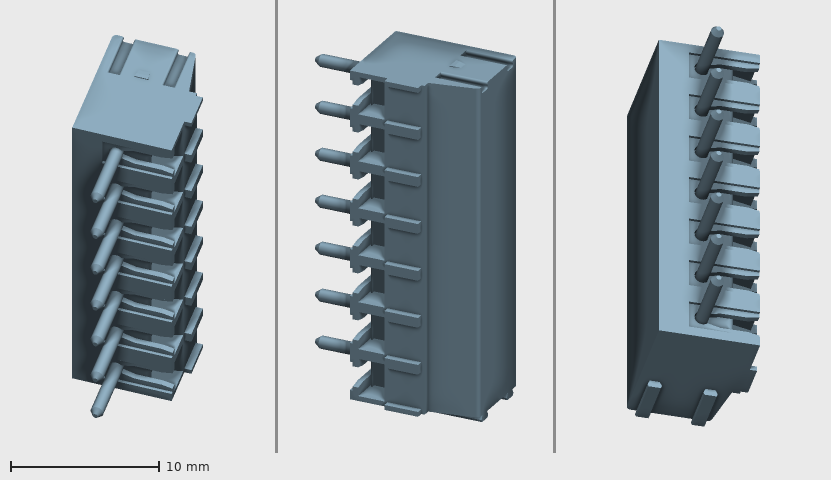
import cadquery as cq
import math


overall_height = 25.08
housing_height = 24.5
pole_count = 7
pitch = housing_height / pole_count
housing_depth = 9.15
housing_width = 7.05
back_width = 5.87
shoulder_width = 6.5
shoulder_length = 3.54
back_corner_radius = 0.3

pin_x = 3.05
pin_radius = 0.45
pin_length = 4.5
pin_tip_length = 0.4
pin_tip_radius = 0.18

pocket_left = 2.1
pocket_height = 2.1
pocket_depth = 0.213

channel_depth = 0.63
pin_hole_radius = 0.53
channel_root_half = 0.28
channel_half = 0.6
channel_mouth_half = 0.75
channel_full_x = 4.35
channel_flare_x = 6.27
contact_bend_x = 5.05
contact_bend_radius = 0.35
contact_bend_angle = 65.0

cavity_depth = 2.25
ramp_start_x = 5.72
ramp_drop = 0.33

stop_height = 0.73
stop_projection = 0.5
stop_front = 2.83
stop_back = 5.37

cavity_half = (pitch - stop_height) / 2

track_centers = (1.13, 5.02)
track_length = 3.5
groove_half = 0.53
groove_lip_radius = 0.15
rail_neck_half = 0.35
rail_half = 0.5
rail_tip_half = 0.43
rail_flare_height = 0.33
rail_height = 0.5

bump_height = overall_height - housing_height - rail_height
bump_back_half = 0.35
bump_front_half = 0.5
bump_setback = 2.58
bump_ramp_length = 0.48
bump_crest_length = 0.3
bump_back_y = housing_depth - bump_setback
bump_crest_y = bump_back_y - bump_ramp_length
bump_front_y = bump_crest_y - bump_crest_length


def make_housing():
    """Prism with a sloped +X face towards the back and rounded back edges."""
    shoulder_y = housing_depth - shoulder_length
    outline = [
        (0, 0),
        (housing_width, 0),
        (housing_width, shoulder_y),
        (shoulder_width, shoulder_y),
        (back_width, housing_depth),
        (0, housing_depth),
    ]
    body = cq.Workplane("XY").polyline(outline).close().extrude(housing_height)
    return body.faces(">Y").edges("|Z").fillet(back_corner_radius)


def make_channel():
    """Recess of one pole, centred on Z = 0: pocket, pin hole and contact channel."""
    pocket = cq.Workplane("XY").box(
        housing_width - pocket_left, pocket_depth, pocket_height, centered=(False, False, True)
    ).translate((pocket_left, 0, 0))

    pin_hole = cq.Workplane("XZ").center(pin_x, 0).circle(pin_hole_radius).extrude(-channel_depth)

    upper_side = [
        (pin_x, channel_root_half),
        (channel_full_x, channel_half),
        (channel_flare_x, channel_half),
        (housing_width, channel_mouth_half),
    ]
    lower_side = [(x, -z) for x, z in reversed(upper_side)]
    channel = cq.Workplane("XZ").polyline(upper_side + lower_side).close().extrude(-channel_depth)
    return pocket.union(pin_hole).union(channel)


def make_cavity():
    """Cavity of one pole, centred on Z = 0, reaching under the rounded contact end."""

    def bend_point(angle):
        turn = math.radians(angle)
        x = contact_bend_x + contact_bend_radius * math.sin(turn)
        y = channel_depth + contact_bend_radius * (1 - math.cos(turn))
        return x, y

    contact_end = bend_point(contact_bend_angle)
    return (
        cq.Workplane("XY")
        .moveTo(contact_bend_x, channel_depth)
        .threePointArc(bend_point(contact_bend_angle / 2), contact_end)
        .lineTo(contact_bend_x, contact_end[1])
        .lineTo(contact_bend_x, cavity_depth)
        .lineTo(ramp_start_x, cavity_depth)
        .lineTo(housing_width, cavity_depth + ramp_drop)
        .lineTo(housing_width, channel_depth)
        .close()
        .extrude(cavity_half, both=True)
    )


def make_pin():
    """Round pin with a conical tip, starting at the contact surface."""
    half_section = [
        (0, channel_depth),
        (pin_radius, channel_depth),
        (pin_radius, pin_tip_length - pin_length),
        (pin_tip_radius, -pin_length),
        (0, -pin_length),
    ]
    pin = cq.Workplane("XY").polyline(half_section).close().revolve(360, (0, 0), (0, 1))
    return pin.translate((pin_x, 0, 0))


def make_stop(center_z):
    """Stop on the +X face, trimmed to the housing height."""
    bottom = max(center_z - stop_height / 2, 0)
    top = min(center_z + stop_height / 2, housing_height)
    return cq.Workplane("XY").box(
        stop_projection, stop_back - stop_front, top - bottom, centered=False
    ).translate((housing_width, stop_front, bottom))


def make_groove(center_x):
    """Groove whose lips, rounded through 135 degrees, curve tangentially into an undercut."""
    r = groove_lip_radius
    diagonal = r * math.sqrt(0.5)
    crest_x = groove_half - r
    turn_x = groove_half - diagonal
    turn_z = -r - diagonal
    floor_x = groove_half - 2 * diagonal
    floor_z = -2 * r - 2 * diagonal
    belly_angle = math.radians(45) / 2
    belly_x = floor_x + r * math.cos(belly_angle)
    belly_z = floor_z + r - r * math.sin(belly_angle)
    return (
        cq.Workplane("XZ", origin=(center_x, housing_depth, housing_height))
        .moveTo(groove_half, 0)
        .threePointArc((crest_x, -r), (turn_x, turn_z))
        .threePointArc((belly_x, belly_z), (floor_x, floor_z))
        .lineTo(-floor_x, floor_z)
        .threePointArc((-belly_x, belly_z), (-turn_x, turn_z))
        .threePointArc((-crest_x, -r), (-groove_half, 0))
        .close()
        .extrude(track_length)
    )


def make_rail(center_x):
    """Rail below the housing, widest below its neck and tapered at the tip."""
    right_side = [
        (rail_neck_half, 0),
        (rail_half, -rail_flare_height),
        (rail_tip_half, -rail_height),
    ]
    left_side = [(-x, z) for x, z in reversed(right_side)]
    return (
        cq.Workplane("XZ", origin=(center_x, housing_depth, 0))
        .polyline(right_side + left_side)
        .close()
        .extrude(track_length)
    )


def make_bump():
    """Latch bump: a ramp rising from the back to a flat crest, wider at the front."""
    plan = cq.Workplane("XY").polyline([
        (-bump_back_half, bump_back_y),
        (bump_back_half, bump_back_y),
        (bump_front_half, bump_front_y),
        (-bump_front_half, bump_front_y),
    ]).close().extrude(bump_height)
    profile = cq.Workplane("YZ").polyline([
        (bump_back_y, 0),
        (bump_crest_y, bump_height),
        (bump_front_y, bump_height),
        (bump_front_y, 0),
    ]).close().extrude(bump_front_half, both=True)
    return plan.intersect(profile).translate((pin_x, 0, housing_height))


result = make_housing()

for center_x in track_centers:
    result = result.cut(make_groove(center_x)).union(make_rail(center_x))

recess = make_channel().union(make_cavity())
pin = make_pin()
for pole in range(pole_count):
    pole_z = (pole + 0.5) * pitch
    result = result.cut(recess.translate((0, 0, pole_z)))
    result = result.union(pin.translate((0, 0, pole_z)))

for gap in range(pole_count + 1):
    result = result.union(make_stop(gap * pitch))

result = result.union(make_bump())